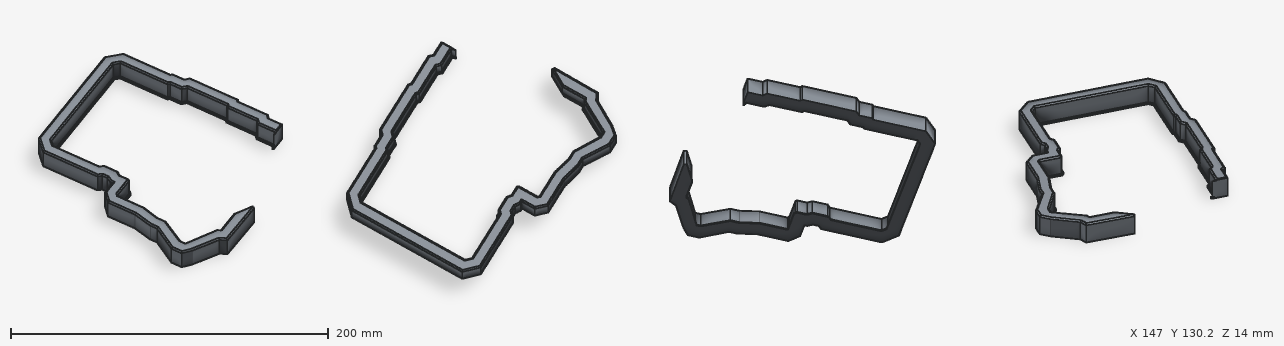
import cadquery as cq

height = 14.0
bevel = 1.0
back_end_bevel = 0.51
lip_width = 1.0
lip_height = 1.0

wall_thickness = 8.0
left_x = -73.5
back_y = 61.5
back_small_step_y = 62.5
back_middle_step_y = 63.8
back_top_step_y = 65.1
front_y = -36.5
front_notch_y = -34.4
jog_x = -14.0
low_front_y = -52.0
sloped_front_y = -55.1
front_tip_y = -65.1
corner_cut = 8.5
inner_corner_cut = 3.2
jog_corner_cut = 0.9

left_inner_x = left_x + wall_thickness
back_inner_y = back_y - wall_thickness
back_small_step_inner_y = back_small_step_y - wall_thickness
back_middle_step_inner_y = back_middle_step_y - wall_thickness
back_top_step_inner_y = back_top_step_y - wall_thickness
front_inner_y = front_y + wall_thickness
front_notch_inner_y = front_notch_y + wall_thickness
jog_inner_x = jog_x + wall_thickness
low_front_inner_y = low_front_y + wall_thickness
sloped_front_inner_y = sloped_front_y + wall_thickness

front_tip_inner_y = -56.8
arm_inner_x = 65.1

back_end_x = 52.0
back_end_corner = (back_end_x, back_inner_y)
spur_root = (51.0, back_inner_y)
spur_tip = (back_end_x, 50.9)
arm_tip = (71.8, -7.8)
lip_end_at_spur = (51.6, 50.3)
lip_end_at_arm = (64.1, -21.0)
lip_end_limit = (44.1, 50.3)

outer_points = [
    (back_end_x, back_y),
    (42.2, back_y),
    (40.0, back_middle_step_y),
    (18.4, back_middle_step_y),
    (17.2, back_top_step_y),
    (-18.2, back_top_step_y),
    (-20.7, back_small_step_y),
    (-29.4, back_small_step_y),
    (-30.5, back_y),
    (left_x + corner_cut, back_y),
    (left_x, back_y - corner_cut),
    (left_x, front_y + corner_cut),
    (left_x + corner_cut, front_y),
    (-25.0, front_y),
    (-22.8, front_notch_y),
    (-19.0, front_notch_y),
    (-15.7, front_y),
    (jog_x, front_y),
    (jog_x, -45.9),
    (-8.0, low_front_y),
    (11.9, low_front_y),
    (24.8, sloped_front_y),
    (30.0, sloped_front_y),
    (46.6, front_tip_y),
    (54.1, front_tip_y),
    (58.7, -59.8),
    (68.5, -43.1),
    (73.1, -40.9),
    (73.5, -8.7),
    arm_tip,
]

inner_points = [
    (arm_inner_x, -19.3),
    (arm_inner_x, -35.6),
    (63.1, -36.5),
    (51.8, front_tip_inner_y),
    (48.2, front_tip_inner_y),
    (31.5, sloped_front_inner_y),
    (25.6, sloped_front_inner_y),
    (13.5, low_front_inner_y),
    (jog_inner_x + jog_corner_cut, low_front_inner_y),
    (jog_inner_x, low_front_inner_y + jog_corner_cut),
    (jog_inner_x, front_inner_y - jog_corner_cut),
    (jog_inner_x - jog_corner_cut, front_inner_y),
    (-13.4, front_inner_y),
    (-16.2, front_notch_inner_y),
    (-26.3, front_notch_inner_y),
    (-28.4, front_inner_y),
    (left_inner_x + inner_corner_cut, front_inner_y),
    (left_inner_x, front_inner_y + inner_corner_cut),
    (left_inner_x, back_inner_y - inner_corner_cut),
    (left_inner_x + inner_corner_cut, back_inner_y),
    (-27.5, back_inner_y),
    (-26.5, back_small_step_inner_y),
    (-18.0, back_small_step_inner_y),
    (-15.5, back_top_step_inner_y),
    (13.8, back_top_step_inner_y),
    (15.1, back_middle_step_inner_y),
    (36.5, back_middle_step_inner_y),
    (38.8, back_inner_y),
    spur_root,
]


def outline(points):
    """Closed outline on the base plane."""
    return cq.Workplane("XY").polyline(points).close()


wall = outline(outer_points + inner_points + [back_end_corner]).extrude(height)
back_end_edge = cq.selectors.NearestToPointSelector((back_end_x, (back_y + back_inner_y) / 2, height))
wall = wall.faces(">Z").edges(cq.selectors.InverseSelector(back_end_edge)).chamfer(bevel)
wall = wall.faces(">Z").edges(back_end_edge).chamfer(back_end_bevel)

spur = outline([spur_root, back_end_corner, spur_tip]).extrude(height - bevel)

band = outline(outer_points + inner_points + [spur_tip]).offset2D(lip_width, "intersection")
frame_area = outline(outer_points + [lip_end_at_arm, lip_end_limit, lip_end_at_spur, spur_tip])
lip = band.extrude(lip_height).intersect(frame_area.extrude(lip_height))

result = wall.union(spur).union(lip)